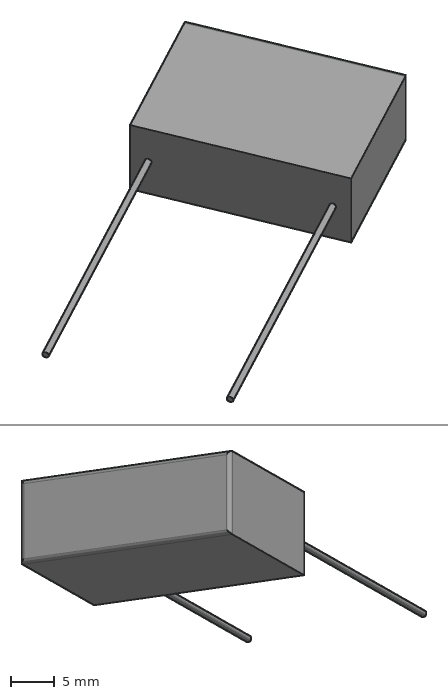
import cadquery as cq

overall_length = 54.0
case_width = 27.0
case_length = 19.0
case_thickness = 10.0
back_edge_radius = 0.5

lead_diameter = 0.8
lead_pitch = 22.5
lead_length = overall_length - case_length


def make_case():
    """Block with its front face on Y = 0 and rounded edges around its back face."""
    block = cq.Workplane("XY").box(
        case_width, case_length, case_thickness, centered=(True, False, True)
    )
    return block.faces(">Y").edges().fillet(back_edge_radius)


def make_lead(x_position):
    """Straight round wire that runs from the front face of the case toward -Y."""
    return (
        cq.Workplane("XZ")
        .center(x_position, 0)
        .circle(lead_diameter / 2)
        .extrude(lead_length)
    )


case = make_case()

leads = []
for side in (-1, 1):
    leads.append(make_lead(side * lead_pitch / 2))

result = cq.Compound.makeCompound([case.val(), *[lead.val() for lead in leads]])